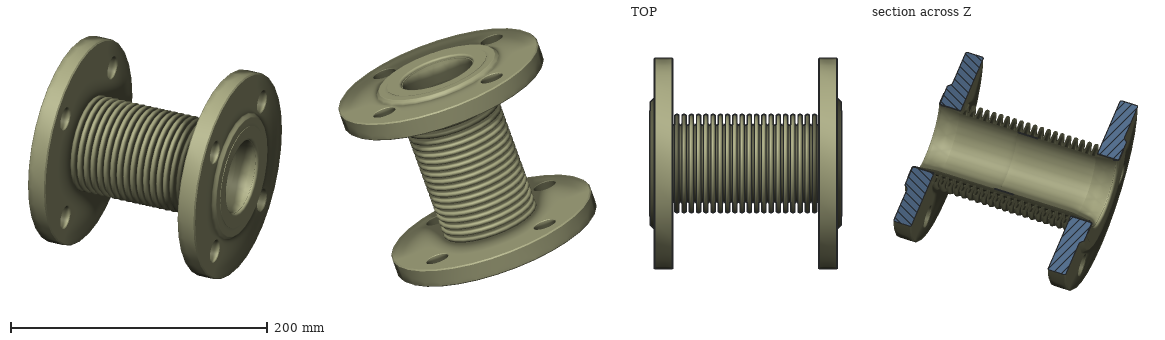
import cadquery as cq
import math

total_length = 150.0
half_length = total_length / 2

flange_diameter = 165.0
flange_thickness = 15.0
flange_chamfer = 1.0
raised_face_height = 3.0
raised_face_diameter = 102.0
bevel_fillet = 1.0
bolt_hole_diameter = 18.0
bolt_hole_chamfer = 0.5
bolt_circle_diameter = 125.0
bolt_count = 4
first_bolt_angle = 45.0

bellows_sheet = 0.3
bellows_root_diameter = 60.2
bellows_crown_diameter = 77.0
lap_diameter = 82.0
lap_bend_radius = 1.8
convolution_count = 20
convolution_span = 107.5
convolution_width = 3.6
end_root_radius = 0.7

inner_collar_bore = 58.0
inner_tail_bore = 53.5
outer_collar_bore = 58.9
sliding_diameter = 55.0
outer_tail_diameter = 55.8
liner_end_depth = 2.3
neck_start_depth = 3.0
neck_end_depth = 18.2
tail_overlap = 16.5

raised_face = half_length - bellows_sheet
flange_front = raised_face - raised_face_height
flange_back = flange_front - flange_thickness
lap_radius = lap_diameter / 2
collar_outer = bellows_root_diameter / 2
collar_inner = collar_outer - bellows_sheet
bend_centre_x = half_length - lap_bend_radius
bend_centre_radius = collar_inner + lap_bend_radius
outside_bend_radius = lap_bend_radius - bellows_sheet
pitch = convolution_span / (convolution_count - 1)
root_radius = (pitch - convolution_width) / 2

diagonal = math.sqrt(0.5)


def revolve_about_x(profile):
    """Turn a closed XY profile (X = station, Y = radius) into a solid of revolution."""
    return profile.close().revolve(360, (0, 0, 0), (1, 0, 0))


def bend_middle(bend_radius, side):
    """Halfway point of the quarter bend between a collar and its lap."""
    reach = bend_radius * diagonal
    return (side * (bend_centre_x + reach), bend_centre_radius - reach)


def bend_to_lap(profile, bend_radius, side):
    """Add the quarter bend that turns a collar out into a lap."""
    lap_end = (side * (bend_centre_x + bend_radius), bend_centre_radius)
    return profile.threePointArc(bend_middle(bend_radius, side), lap_end)


def bend_to_collar(profile, bend_radius, side):
    """Add the same quarter bend, walked from the lap to the collar."""
    collar_end = (side * bend_centre_x, bend_centre_radius - bend_radius)
    return profile.threePointArc(bend_middle(bend_radius, side), collar_end)


def make_flange(side):
    """Flange with a bevelled raised face, a bore rounded for the lap, and bolt holes."""
    rim = flange_diameter / 2
    bevel_foot = raised_face_diameter / 2
    bevel_top = bevel_foot - raised_face_height
    profile = (
        cq.Workplane("XY")
        .moveTo(side * flange_back, collar_outer)
        .lineTo(side * bend_centre_x, collar_outer)
    )
    profile = (
        bend_to_lap(profile, outside_bend_radius, side)
        .lineTo(side * raised_face, bevel_top)
        .lineTo(side * flange_front, bevel_foot)
        .lineTo(side * flange_front, rim - flange_chamfer)
        .lineTo(side * (flange_front - flange_chamfer), rim)
        .lineTo(side * (flange_back + flange_chamfer), rim)
        .lineTo(side * flange_back, rim - flange_chamfer)
    )
    flange = revolve_about_x(profile)
    for bevel_radius in (bevel_foot, bevel_top):
        flange = fillet_bevel_edge(flange, bevel_radius)
    return flange.cut(cq.Workplane(make_bolt_holes(side)))


def fillet_bevel_edge(body, radius):
    """Round the circular edges of the given radius."""
    tolerance = 0.002
    circles = body.edges("%CIRCLE").filter(lambda edge: abs(edge.radius() - radius) < tolerance)
    return circles.fillet(bevel_fillet)


def make_bolt_holes(side):
    """Cutting tools for the bolt holes, countersunk on both flange faces."""
    hole = bolt_hole_diameter / 2
    mouth = hole + bolt_hole_chamfer
    tool = (
        cq.Workplane("XY")
        .moveTo(side * flange_back, 0)
        .lineTo(side * flange_back, mouth)
        .lineTo(side * (flange_back + bolt_hole_chamfer), hole)
        .lineTo(side * (flange_front - bolt_hole_chamfer), hole)
        .lineTo(side * flange_front, mouth)
        .lineTo(side * flange_front, 0)
    )
    first_tool = revolve_about_x(tool).translate((0, bolt_circle_diameter / 2, 0)).val()
    bolt_angles = [first_bolt_angle + 360 / bolt_count * i for i in range(bolt_count)]
    tools = [first_tool.rotate((0, 0, 0), (1, 0, 0), angle) for angle in bolt_angles]
    return cq.Compound.makeCompound(tools)


def add_convolution(profile, centre, direction, depth, root_before, root_after):
    """Add one convolution, walking along X, on the surface this deep below the outside.

    Its crown is two quarter arcs, and a quarter root arc leads in and out of it.
    """
    half_width = convolution_width / 2 - depth
    crown = bellows_crown_diameter / 2 - depth
    root = collar_outer - depth
    shoulder = crown - half_width
    radius_before = root_before + depth
    radius_after = root_after + depth
    wall_before = centre - direction * half_width
    wall_after = centre + direction * half_width
    crown_reach = half_width * diagonal
    crown_middle = shoulder + crown_reach
    reach_before = radius_before * (1 - diagonal)
    reach_after = radius_after * (1 - diagonal)

    return (
        profile.threePointArc(
            (wall_before - direction * reach_before, root + reach_before),
            (wall_before, root + radius_before),
        )
        .lineTo(wall_before, shoulder)
        .threePointArc((centre - direction * crown_reach, crown_middle), (centre, crown))
        .threePointArc((centre + direction * crown_reach, crown_middle), (wall_after, shoulder))
        .lineTo(wall_after, root + radius_after)
        .threePointArc(
            (wall_after + direction * reach_after, root + reach_after),
            (wall_after + direction * radius_after, root),
        )
    )


def add_convolutions(profile, direction, depth):
    """Add the whole row of convolutions; the outermost roots are tighter."""
    last = convolution_count - 1
    row_start = convolution_span / 2 + convolution_width / 2 + end_root_radius
    profile = profile.lineTo(-direction * row_start, collar_outer - depth)
    for i in range(convolution_count):
        centre = direction * (pitch * i - convolution_span / 2)
        root_before = end_root_radius if i == 0 else root_radius
        root_after = end_root_radius if i == last else root_radius
        profile = add_convolution(profile, centre, direction, depth, root_before, root_after)
    return profile


def make_bellows():
    """Convoluted sheet-metal tube with a lap at each end."""
    profile = (
        cq.Workplane("XY")
        .moveTo(-raised_face, lap_radius)
        .lineTo(-raised_face, bend_centre_radius)
    )
    profile = bend_to_collar(profile, outside_bend_radius, -1)
    profile = add_convolutions(profile, direction=1, depth=0).lineTo(bend_centre_x, collar_outer)
    profile = bend_to_lap(profile, outside_bend_radius, 1).lineTo(raised_face, lap_radius)

    profile = profile.lineTo(half_length, lap_radius).lineTo(half_length, bend_centre_radius)
    profile = bend_to_collar(profile, lap_bend_radius, 1)
    profile = add_convolutions(profile, direction=-1, depth=bellows_sheet)
    profile = profile.lineTo(-bend_centre_x, collar_inner)
    profile = bend_to_lap(profile, lap_bend_radius, -1)
    return revolve_about_x(profile.lineTo(-half_length, lap_radius))


def make_liner(side, collar_bore, tail_bore, tail_diameter):
    """Sleeve fitted in a bellows collar, with a cone down to a tail that passes mid-length."""
    collar_bore_radius = collar_bore / 2
    tail_inner = tail_bore / 2
    tail_outer = tail_diameter / 2
    liner_end = side * (half_length - liner_end_depth)
    neck_start = side * (half_length - neck_start_depth)
    neck_end = side * (half_length - neck_end_depth)
    tail_end = -side * tail_overlap / 2
    profile = (
        cq.Workplane("XY")
        .moveTo(liner_end, collar_bore_radius)
        .lineTo(neck_start, collar_bore_radius)
        .lineTo(neck_end, tail_inner)
        .lineTo(tail_end, tail_inner)
        .lineTo(tail_end, tail_outer)
        .lineTo(neck_end, tail_outer)
        .lineTo(neck_start, collar_inner)
        .lineTo(liner_end, collar_inner)
    )
    return revolve_about_x(profile)


flanges = [make_flange(side) for side in (-1, 1)]
bellows = make_bellows()
inner_liner = make_liner(-1, inner_collar_bore, inner_tail_bore, sliding_diameter)
outer_liner = make_liner(1, outer_collar_bore, sliding_diameter, outer_tail_diameter)

result = cq.Compound.makeCompound(
    [
        *[flange.val() for flange in flanges],
        bellows.val(),
        inner_liner.val(),
        outer_liner.val(),
    ]
)